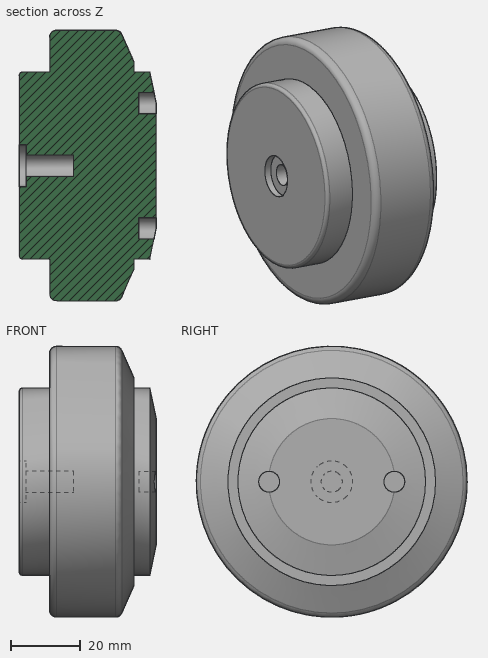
import cadquery as cq

width = 39.5
rim_diameter = 78.0
hub_diameter = 54.0

front_hub_length = 8.7
rim_straight_length = 20.3
rim_bevel_length = 4.05
hub_bevel_length = 1.9

rim_bevel_diameter = 59.75
hub_bevel_diameter = 36.35

rim_fillet = 2.0
hub_fillet = 1.0

bore_diameter = 6.1
counterbore_diameter = 12.0
counterbore_depth = 2.0
bore_depth = 15.6

pin_hole_diameter = 6.0
pin_hole_spacing = 36.0
pin_hole_depth = 5.0

front_face = -width / 2
back_face = width / 2
rim_front = front_face + front_hub_length
bevel_start = rim_front + rim_straight_length
rim_back = bevel_start + rim_bevel_length


def cylinder(diameter, start, end):
    """Cylinder on the X axis between two X positions."""
    return cq.Workplane("YZ", origin=(start, 0, 0)).circle(diameter / 2).extrude(end - start)


def make_rim():
    """Rounded tread with a conical bevel towards +X."""
    profile = (
        cq.Workplane("XY")
        .moveTo(rim_front, 0)
        .lineTo(rim_front, rim_diameter / 2)
        .lineTo(bevel_start, rim_diameter / 2)
        .lineTo(rim_back, rim_bevel_diameter / 2)
        .lineTo(rim_back, 0)
        .close()
    )
    rim = profile.revolve(360, (0, 0, 0), (1, 0, 0))
    tread_corners = cq.selectors.RadiusNthSelector(-1)
    return rim.edges("%CIRCLE").edges(tread_corners).fillet(rim_fillet)


def make_hub():
    """Hub through the full width, rounded at -X and bevelled at +X."""
    hub = cylinder(hub_diameter, front_face, back_face)
    hub = hub.faces("<X").edges().fillet(hub_fillet)
    profile = (
        cq.Workplane("XY")
        .moveTo(back_face, hub_diameter / 2)
        .lineTo(back_face, hub_bevel_diameter / 2)
        .lineTo(back_face - hub_bevel_length, hub_diameter / 2)
        .close()
    )
    return hub.cut(profile.revolve(360, (0, 0, 0), (1, 0, 0)))


def make_centre_hole():
    bore = cylinder(bore_diameter, front_face, front_face + bore_depth)
    counterbore = cylinder(counterbore_diameter, front_face, front_face + counterbore_depth)
    return bore.union(counterbore)


def make_pin_hole(side):
    """Pin hole on the -Y (side = -1) or +Y (side = 1) half of the hub."""
    hole = cylinder(pin_hole_diameter, back_face - pin_hole_depth, back_face)
    return hole.translate((0, side * pin_hole_spacing / 2, 0))


result = make_rim().union(make_hub()).cut(make_centre_hole())
for side in (-1, 1):
    result = result.cut(make_pin_hole(side))